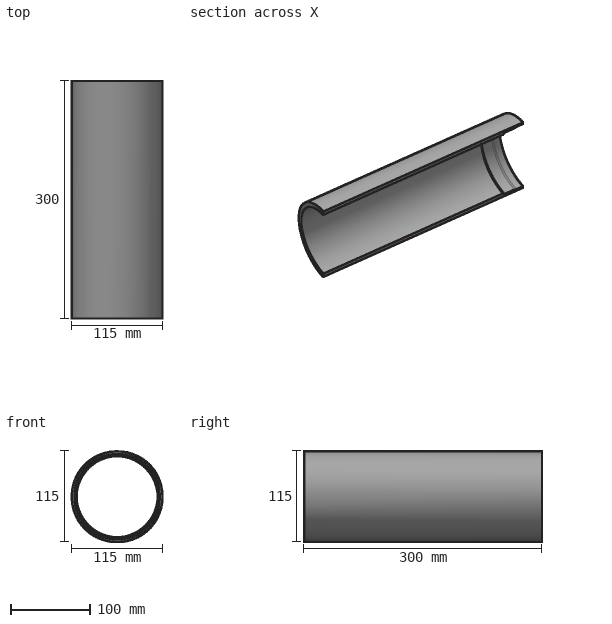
import cadquery as cq

length = 300.0
outer_diameter = 115.0
outer_radius = outer_diameter / 2
bore_radius = 51.0

mouth_radius = 54.0
mouth_depth = 10.0
seat_radius = 53.0
seat_start = 13.0
seat_end = 28.0
bore_start = 30.0

open_end = -length / 2
wall_section = [
    (outer_radius, open_end),
    (mouth_radius, open_end),
    (mouth_radius, open_end + mouth_depth),
    (seat_radius, open_end + seat_start),
    (seat_radius, open_end + seat_end),
    (bore_radius, open_end + bore_start),
    (bore_radius, length / 2),
    (outer_radius, length / 2),
]

result = cq.Workplane("XY").polyline(wall_section).close().revolve(360, (0, 0), (0, 1))